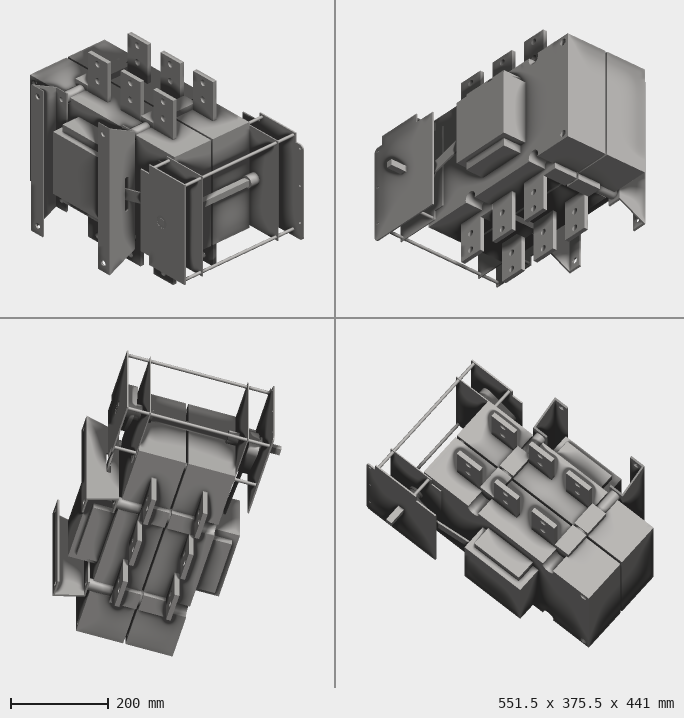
import cadquery as cq
import math

BLOCK_WIDTH = 441.0
BLOCK_DEPTH = 101.0
BLOCK_HEIGHT = 253.5
UNIT_GAP = 5.0
BLOCK_NEAR = UNIT_GAP / 2
BLOCK_FAR = BLOCK_NEAR + BLOCK_DEPTH

COIL_X = -11.5
YOKE_SIZE = 149.0
YOKE_FAR = 161.5
CORE_WIDTH = 119.0
CORE_HEIGHT = 186.0
CORE_FAR = 148.5

POLE_PITCH = 100.0
POLE_XS = [COIL_X + step * POLE_PITCH for step in (-0.5, 0.5, 1.5)]
TERMINAL_WIDTH = 60.5
TERMINAL_THICKNESS = 10.0
TERMINAL_TIP = 220.5
TERMINAL_FAR = 60.0
TERMINAL_HOLE_DIAMETER = 14.5
TERMINAL_HOLE_ZS = (165.0, 205.0)

CLAMP_XS = [COIL_X - POLE_PITCH, COIL_X + POLE_PITCH]
CLAMP_WIDTH = 36.5
CLAMP_TOP = 140.5
POST_Z = 121.0
POST_DIAMETER = 25.0
POST_GROOVE_DIAMETER = 29.0
SPACER_DIAMETER = 33.0

SCREW_X = 205.5
SCREW_Z = 112.5
SCREW_HOLE_DIAMETER = 6.5
SCREW_HEAD_DIAMETER = 16.0
SCREW_HEAD_DEPTH = 5.5

BRACKET_REAR = 111.5
BRACKET_FRONT = 181.0
BRACKET_WIDTH = 35.5
BRACKET_OUTER_OFFSET = 119.5
BRACKET_SHEET = 4.0
BRACKET_FRONT_HALF = 175.5
BRACKET_REAR_HALF = CLAMP_TOP
BRACKET_HOLE_DIAMETER = 13.0
BRACKET_HOLE_Z = 155.0
POST_BORE_DIAMETER = 11.0
LINK_SLOT_LENGTH = 83.0
LINK_SLOT_WIDTH = 10.5

SHAFT_X = 237.5
SHAFT_SIZE = 14.5
SHAFT_REAR = 194.5
PLATE_LEFT = 173.0
PLATE_RIGHT = 308.0
PLATE_HALF_HEIGHT = 119.5
NOTCH_WIDTH = 25.5
NOTCH_Z = 98.0
INNER_PLATE_SHEET = 2.0
OUTER_PLATE_SHEET = 3.5
INNER_PLATE_FAR = BLOCK_FAR + INNER_PLATE_SHEET
OUTER_PLATE_NEAR = 151.5
OUTER_PLATE_FAR = OUTER_PLATE_NEAR + OUTER_PLATE_SHEET
REAR_PLATE_LEFT = 146.5
REAR_PLATE_RIGHT = 331.0
REAR_PLATE_BOTTOM = -129.0
REAR_PLATE_RADIUS = 10.0
REAR_HOLE_DIAMETER = 5.5
REAR_HOLE_X = 321.5
REAR_HOLE_PITCH = 89.0

ROD_DIAMETER = 7.0
LONG_ROD_X = 301.0

BUSH_DIAMETER = 27.5
BUSH_NEAR = 81.0
HUB_DIAMETER = 29.0
HUB_RECESS = 0.5
COLLAR_DIAMETER = 34.0
COLLAR_THICKNESS = 5.0
LEVER_NEAR = 119.5
LEVER_FAR = 142.5
LEVER_HUB_DIAMETER = 46.5
LEVER_END_DIAMETER = 33.0
LEVER_LOW_END = (196.0, 21.5)
LEVER_HIGH_END = (252.0, 47.5)
REAR_LEVER_TURN = -4.0

LINK_HEIGHT = 25.5
LINK_SHEET = 4.0
LINK_START_Z = -11.5
FRONT_LINK_Y = 133.5
REAR_LINK_Y = 128.5


def box(x_range, y_range, z_range):
    """Box between two limits on each axis."""
    size = [limits[1] - limits[0] for limits in (x_range, y_range, z_range)]
    corner = (x_range[0], y_range[0], z_range[0])
    return cq.Workplane("XY").box(*size, centered=False).translate(corner)


def centred(middle, width):
    """Limits of a width laid evenly about its middle."""
    return (middle - width / 2, middle + width / 2)


def extrude_y(outline, y_start, y_end):
    """Extrude an XZ outline between two Y positions."""
    return outline.extrude(y_start - y_end).translate((0, y_start, 0))


def cylinders(points, diameter, y_start, y_end):
    """Round bars along Y at the given (x, z) points."""
    return extrude_y(cq.Workplane("XZ").pushPoints(points).circle(diameter / 2), y_start, y_end)


POST_POINTS = [(x, z) for x in CLAMP_XS for z in (-POST_Z, POST_Z)]


def terminal(x, side):
    """Flat terminal at one pole; side is +1 above the block and -1 below it."""
    z_range = sorted((0, side * TERMINAL_TIP))
    bar = box(centred(x, TERMINAL_WIDTH), (TERMINAL_FAR - TERMINAL_THICKNESS, TERMINAL_FAR), z_range)
    hole_points = [(x, side * z) for z in TERMINAL_HOLE_ZS]
    return bar.cut(cylinders(hole_points, TERMINAL_HOLE_DIAMETER, 0, TERMINAL_FAR))


def rear_switch():
    """Switch unit on the +Y side: block, coil, clamps and terminals."""
    y_range = (BLOCK_NEAR, BLOCK_FAR)
    unit = box(centred(0, BLOCK_WIDTH), y_range, centred(0, BLOCK_HEIGHT))
    unit = unit.cut(cylinders(POST_POINTS, POST_GROOVE_DIAMETER, TERMINAL_FAR, BLOCK_FAR))

    for x in CLAMP_XS:
        unit = unit.union(
            box(centred(x, CLAMP_WIDTH), (BLOCK_NEAR, TERMINAL_FAR), centred(0, 2 * CLAMP_TOP))
        )
    for x in POLE_XS:
        for side in (-1, 1):
            unit = unit.union(terminal(x, side))

    screw_points = [(-SCREW_X, -SCREW_Z), (-SCREW_X, SCREW_Z)]
    head_start = BLOCK_FAR - SCREW_HEAD_DEPTH
    unit = unit.cut(cylinders(screw_points, SCREW_HOLE_DIAMETER, 0, BLOCK_FAR))
    unit = unit.cut(cylinders(screw_points, SCREW_HEAD_DIAMETER, head_start, BLOCK_FAR))

    yoke = box(centred(COIL_X, YOKE_SIZE), (BLOCK_FAR, YOKE_FAR), centred(0, YOKE_SIZE))
    core = box(centred(COIL_X, CORE_WIDTH), (BLOCK_FAR, CORE_FAR), centred(0, CORE_HEIGHT))
    return unit.union(yoke).union(core)


def bracket(side):
    """C-channel bracket; side is -1 for the left one and +1 for the right one."""
    outer_x = COIL_X + side * BRACKET_OUTER_OFFSET
    inner_x = outer_x - side * BRACKET_WIDTH
    web_x = outer_x - side * BRACKET_SHEET
    profile = [
        (-BRACKET_REAR, -BRACKET_REAR_HALF),
        (-BRACKET_FRONT, -BRACKET_FRONT_HALF),
        (-BRACKET_FRONT, BRACKET_FRONT_HALF),
        (-BRACKET_REAR, BRACKET_REAR_HALF),
    ]
    channel = cq.Workplane("YZ").polyline(profile).close().extrude(inner_x - outer_x)
    channel = channel.translate((outer_x, 0, 0))
    hollow_y = (BRACKET_SHEET - BRACKET_FRONT, -BRACKET_REAR - BRACKET_SHEET)
    channel = channel.cut(box(sorted((inner_x, web_x)), hollow_y, centred(0, 2 * BRACKET_FRONT_HALF)))

    clamp_x = COIL_X + side * POLE_PITCH
    holes = [(clamp_x, -BRACKET_HOLE_Z), (clamp_x, BRACKET_HOLE_Z)]
    return channel.cut(
        cylinders(holes, BRACKET_HOLE_DIAMETER, -BRACKET_FRONT, -BRACKET_FRONT + BRACKET_SHEET)
    )


def front_switch():
    """Switch unit on the -Y side, with spacers, posts and the two mounting brackets."""
    unit = rear_switch().mirror("XZ")
    screw_points = [(SCREW_X, -SCREW_Z), (SCREW_X, SCREW_Z)]
    unit = unit.union(cylinders(POST_POINTS, SPACER_DIAMETER, -BLOCK_NEAR, BLOCK_NEAR))
    unit = unit.union(cylinders(screw_points, SCREW_HEAD_DIAMETER, -BLOCK_NEAR, BLOCK_NEAR))
    unit = unit.union(cylinders(POST_POINTS, POST_DIAMETER, -BRACKET_REAR, -BLOCK_NEAR))
    for side in (-1, 1):
        unit = unit.union(bracket(side))
    bore_start = -BRACKET_REAR - BRACKET_SHEET
    unit = unit.cut(cylinders(POST_POINTS, POST_BORE_DIAMETER, bore_start, -TERMINAL_FAR))

    slot_x = COIL_X + BRACKET_OUTER_OFFSET
    slot_outline = cq.Workplane("YZ").center(-FRONT_LINK_Y, 0).slot2D(LINK_SLOT_LENGTH, LINK_SLOT_WIDTH, 90)
    return unit.cut(slot_outline.extrude(-BRACKET_SHEET).translate((slot_x, 0, 0)))


def notched_plate(y_start, y_end):
    """Side plate with its two left corners notched."""
    outline = (
        cq.Workplane("XZ")
        .moveTo(PLATE_RIGHT, -PLATE_HALF_HEIGHT)
        .lineTo(PLATE_RIGHT, PLATE_HALF_HEIGHT)
        .lineTo(PLATE_LEFT + NOTCH_WIDTH, PLATE_HALF_HEIGHT)
        .lineTo(PLATE_LEFT + NOTCH_WIDTH, NOTCH_Z)
        .lineTo(PLATE_LEFT, NOTCH_Z)
        .lineTo(PLATE_LEFT, -NOTCH_Z)
        .lineTo(PLATE_LEFT + NOTCH_WIDTH, -NOTCH_Z)
        .lineTo(PLATE_LEFT + NOTCH_WIDTH, -PLATE_HALF_HEIGHT)
        .close()
    )
    return extrude_y(outline, y_start, y_end)


def rear_plate():
    """Wide rear plate with a raised middle and three small holes along its right edge."""
    y_range = (OUTER_PLATE_NEAR, OUTER_PLATE_FAR)
    plate = box((REAR_PLATE_LEFT, REAR_PLATE_RIGHT), y_range, (REAR_PLATE_BOTTOM, NOTCH_Z))
    plate = plate.edges("|Y and >X").fillet(REAR_PLATE_RADIUS)
    holes = [(REAR_HOLE_X, row * REAR_HOLE_PITCH) for row in (-1, 0, 1)]
    plate = plate.cut(cylinders(holes, REAR_HOLE_DIAMETER, *y_range))
    return plate.union(box((PLATE_LEFT + NOTCH_WIDTH, PLATE_RIGHT), y_range, (0, PLATE_HALF_HEIGHT)))


def hull_outline(circles):
    """XZ outline wrapped tightly round circles (x, z, radius) listed counter-clockwise."""
    tangents = []
    for (x1, z1, r1), (x2, z2, r2) in zip(circles, circles[1:] + circles[:1]):
        lean = math.asin((r1 - r2) / math.dist((x1, z1), (x2, z2)))
        tangents.append(math.atan2(z2 - z1, x2 - x1) - math.pi / 2 + lean)

    def rim_point(circle, angle):
        x, z, radius = circle
        return (x + radius * math.cos(angle), z + radius * math.sin(angle))

    outline = cq.Workplane("XZ").moveTo(*rim_point(circles[0], tangents[-1]))
    for index, circle in enumerate(circles):
        start = tangents[index - 1]
        turn = (tangents[index] - start) % (2 * math.pi)
        outline = outline.threePointArc(
            rim_point(circle, start + turn / 2), rim_point(circle, start + turn)
        )
        outline = outline.lineTo(*rim_point(circles[(index + 1) % len(circles)], tangents[index]))
    return outline.wire()


def lever(turn):
    """Three-cornered rocker on the -Y end of the shaft, turned about the shaft by an angle."""
    corners = [
        (SHAFT_X, 0, LEVER_HUB_DIAMETER / 2),
        (*LEVER_HIGH_END, LEVER_END_DIAMETER / 2),
        (*LEVER_LOW_END, LEVER_END_DIAMETER / 2),
    ]
    rocker = extrude_y(hull_outline(corners), -LEVER_FAR, -LEVER_NEAR)
    return rocker.rotate((SHAFT_X, 0, 0), (SHAFT_X, 1, 0), turn)


def link(distance):
    """Flat link from the coil to the lever, at a distance from the XZ plane towards -Y."""
    end_x, end_z = LEVER_LOW_END
    start_x = COIL_X + YOKE_SIZE / 2
    half_side = LINK_HEIGHT / 2 * math.hypot(1, (end_z - LINK_START_Z) / (end_x - start_x))
    outline = (
        cq.Workplane("XZ")
        .moveTo(start_x, LINK_START_Z - half_side)
        .lineTo(end_x, end_z - half_side)
        .lineTo(end_x, end_z + half_side)
        .lineTo(start_x, LINK_START_Z + half_side)
        .close()
    )
    return extrude_y(outline, *centred(-distance, LINK_SHEET))


def shaft_fittings(link_distance, lever_turn):
    """Bush, hub, lever and link of the -Y end of the shaft."""
    centre = [(SHAFT_X, 0)]
    fittings = cylinders(centre, BUSH_DIAMETER, -BLOCK_FAR, -BUSH_NEAR)
    fittings = fittings.union(cylinders(centre, HUB_DIAMETER, -OUTER_PLATE_NEAR, -BLOCK_FAR))
    return fittings.union(lever(lever_turn)).union(link(link_distance))


def mechanism():
    """Operating mechanism that links the two switch units."""
    body = rear_plate()
    body = body.union(notched_plate(BLOCK_FAR, INNER_PLATE_FAR))
    body = body.union(notched_plate(-INNER_PLATE_FAR, -BLOCK_FAR))
    body = body.union(notched_plate(-OUTER_PLATE_FAR, -OUTER_PLATE_NEAR))

    long_rods = [(LONG_ROD_X, -SCREW_Z), (LONG_ROD_X, SCREW_Z)]
    short_rods = [(SCREW_X, -SCREW_Z), (SCREW_X, SCREW_Z)]
    body = body.union(cylinders(long_rods, ROD_DIAMETER, -OUTER_PLATE_NEAR, OUTER_PLATE_NEAR))
    body = body.union(cylinders(short_rods, ROD_DIAMETER, BLOCK_FAR, OUTER_PLATE_NEAR))
    body = body.union(cylinders(short_rods, ROD_DIAMETER, -OUTER_PLATE_NEAR, -BLOCK_FAR))

    body = body.union(shaft_fittings(FRONT_LINK_Y, 0))
    body = body.union(shaft_fittings(REAR_LINK_Y, REAR_LEVER_TURN).rotate((0, 0, 0), (1, 0, 0), 180))

    centre = [(SHAFT_X, 0)]
    body = body.union(cylinders(centre, COLLAR_DIAMETER, -OUTER_PLATE_NEAR, -INNER_PLATE_FAR))
    for start in (INNER_PLATE_FAR, OUTER_PLATE_NEAR - COLLAR_THICKNESS):
        body = body.union(cylinders(centre, COLLAR_DIAMETER, start, start + COLLAR_THICKNESS))

    recess = cylinders(centre, HUB_DIAMETER, -OUTER_PLATE_FAR, -OUTER_PLATE_FAR + HUB_RECESS)
    shaft = box(centred(SHAFT_X, SHAFT_SIZE), (-OUTER_PLATE_FAR, SHAFT_REAR), centred(0, SHAFT_SIZE))
    return body.cut(recess).union(shaft)


front_unit = front_switch()
rear_unit = rear_switch()
operating_mechanism = mechanism()

result = cq.Compound.makeCompound([front_unit.val(), rear_unit.val(), operating_mechanism.val()])